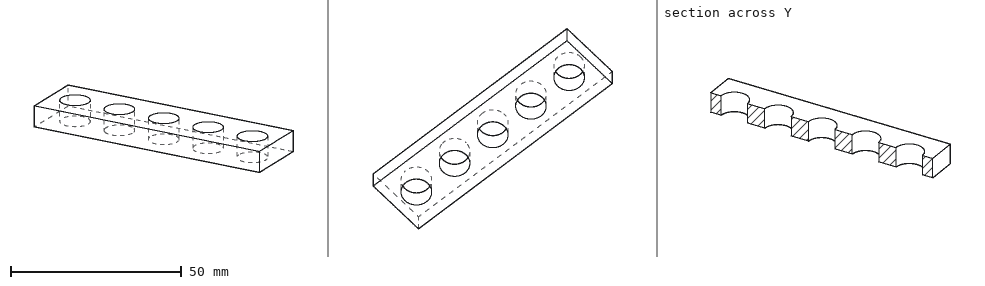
import cadquery as cq

length = 76.0
width = 20.0
thickness = 6.6

hole_count = 5
hole_diameter = 9.0
hole_pitch = 15.0

bar = cq.Workplane("XY").box(length, width, thickness, centered=(True, True, False))

result = (
    bar.faces(">Z")
    .workplane()
    .rarray(hole_pitch, width, hole_count, 1)
    .hole(hole_diameter)
)